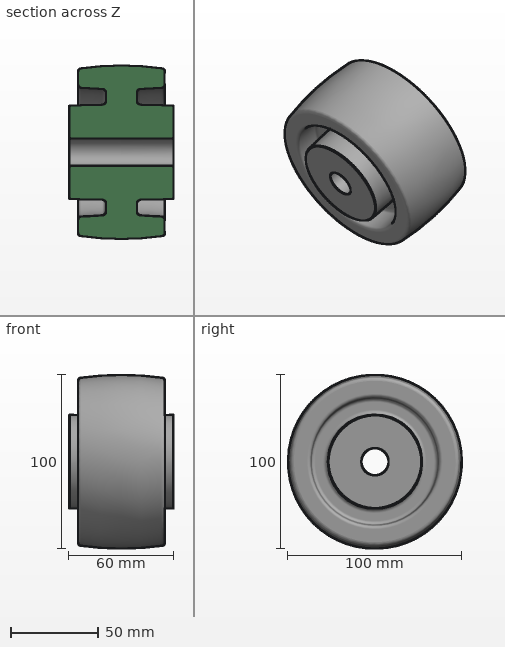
import cadquery as cq

wheel_radius = 50.0
tread_width = 50.0
hub_length = 60.0
bore_radius = 7.7
bore_chamfer = 0.2

tread_edge_radius = 48.1
tread_edge_fillet = 2.0

web_thickness = 18.0
recess_mouth_radius = 37.0
recess_floor_radius = 36.1
rim_fillet = 2.0
recess_root_fillet = 2.0

hub_end_radius = 27.0
hub_root_radius = 27.5
hub_root_fillet = 2.2
hub_chamfer = 0.4

half_tread = tread_width / 2
half_hub = hub_length / 2
half_web = web_thickness / 2


def revolve_about_x(profile):
    return profile.revolve(360, (0, 0, 0), (1, 0, 0))


def crowned_body():
    profile = (
        cq.Workplane("XY")
        .moveTo(-half_tread, 0)
        .lineTo(-half_tread, tread_edge_radius)
        .threePointArc((0, wheel_radius), (half_tread, tread_edge_radius))
        .lineTo(half_tread, 0)
        .close()
    )
    return revolve_about_x(profile).faces("<X or >X").edges().fillet(tread_edge_fillet)


def recess_cutter():
    """Plain conical pocket on the -X side, with rounded floor edge."""
    profile = (
        cq.Workplane("XY")
        .moveTo(-half_tread, 0)
        .lineTo(-half_tread, recess_mouth_radius)
        .lineTo(-half_web, recess_floor_radius)
        .lineTo(-half_web, 0)
        .close()
    )
    return revolve_about_x(profile).faces(">X").edges().fillet(recess_root_fillet)


def half_hub_solid():
    profile = (
        cq.Workplane("XY")
        .moveTo(-half_hub, 0)
        .lineTo(-half_hub, hub_end_radius)
        .lineTo(-half_web, hub_root_radius)
        .lineTo(0, hub_root_radius)
        .lineTo(0, 0)
        .close()
    )
    return revolve_about_x(profile).faces("<X").edges().chamfer(hub_chamfer)


def both_sides(solid):
    return solid.union(solid.mirror("YZ"))


def circles_of_radius(body, radius):
    tolerance = 0.001
    return body.edges("%CIRCLE").filter(lambda edge: abs(edge.radius() - radius) < tolerance)


recess = recess_cutter()
body = crowned_body().cut(recess).cut(recess.mirror("YZ"))
body = circles_of_radius(body, recess_mouth_radius).fillet(rim_fillet)
wheel = body.union(both_sides(half_hub_solid()))
wheel = circles_of_radius(wheel, hub_root_radius).fillet(hub_root_fillet)

bore = cq.Workplane("YZ").circle(bore_radius).extrude(half_hub, both=True)
wheel = wheel.cut(bore)
result = circles_of_radius(wheel, bore_radius).chamfer(bore_chamfer)